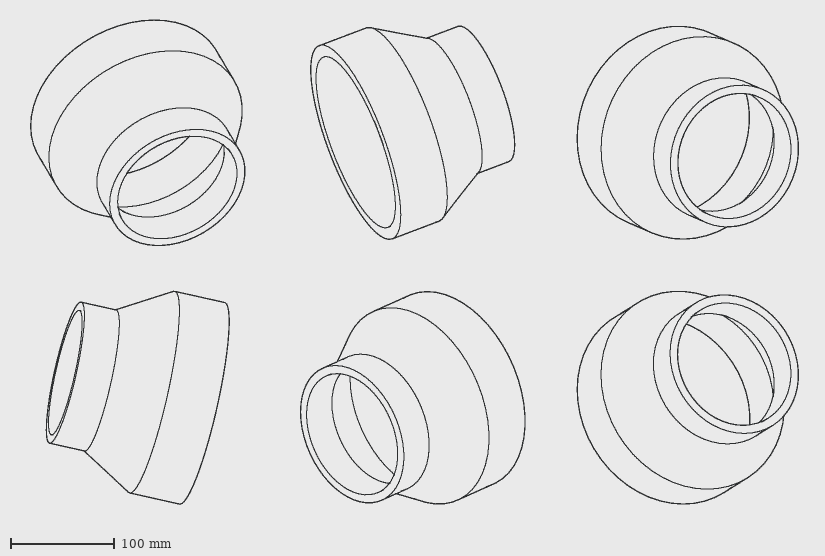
import cadquery as cq

large_diameter = 200.0
large_wall = 11.9
large_length = 50.0
small_diameter = 140.0
small_wall = 8.3
small_length = 35.0
total_length = 137.0

large_radius = large_diameter / 2
small_radius = small_diameter / 2
cone_start = large_length
cone_end = total_length - small_length


def revolved_body(large_end_radius, small_end_radius):
    """Solid of two coaxial cylinders joined by a cone, starting at X = 0."""
    return (
        cq.Workplane("XY")
        .moveTo(0, 0)
        .lineTo(0, -large_end_radius)
        .lineTo(cone_start, -large_end_radius)
        .lineTo(cone_end, -small_end_radius)
        .lineTo(total_length, -small_end_radius)
        .lineTo(total_length, 0)
        .close()
        .revolve(360, (0, 0, 0), (1, 0, 0))
    )


outer_body = revolved_body(large_radius, small_radius)
bore = revolved_body(large_radius - large_wall, small_radius - small_wall)

result = outer_body.cut(bore)